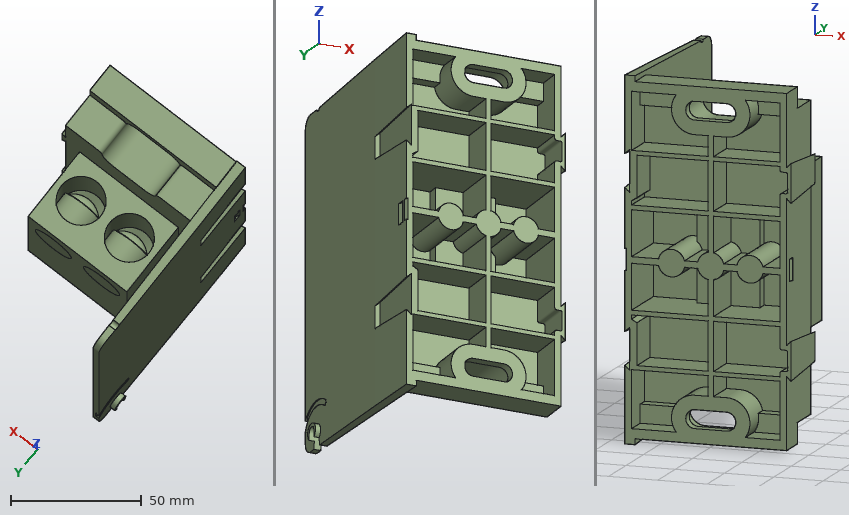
import cadquery as cq
import math

SIDES = (1, -1)

HALF_LENGTH = 70.1
BASE_RIGHT = 65.7
MID_X = 34.9
BASE_HEIGHT = 27.7
END_STEP_HEIGHT = 12.6
TOWER_END = 61.7

PLATE_HALF_LENGTH = 72.4
PLATE_TOP = 90.2
PLATE_TIP_HALF_LENGTH = 69.5
PLATE_FLAT_START = 78.9
PLATE_THICKNESS = 4.2
DRAFT = math.tan(math.radians(0.5))
PLATE_CORNER_RADIUS = 4.9
EDGE_NOTCH_RADIUS = 1.5
EDGE_NOTCH_DEPTH = 0.9

POCKET_LEFT = 2.8
POCKET_RIGHT = 63.0
POCKET_DEPTH = 15.0
END_POCKET_DEPTH = 10.0
SIDE_POCKET_DEPTH = 25.2
MIDDLE_POCKET_DEPTH = 20.3
RIB_THICKNESS = 2.2
WEB_THICKNESS = 2.6
END_BAY = (43.0, 66.2)
END_POCKET_START = 58.6
SNAP_BAY = (21.5, 41.3)
MIDDLE_BAY = (WEB_THICKNESS / 2, 19.7)
MIDDLE_STEP_OFFSET = 12.7
SNAP_WALL_X = 4.9
SNAP_WALL_TAPER = (23.2, 24.5)

SLOT_Z = 60.5
SLOT_LENGTH = 20.3
SLOT_WIDTH = 7.4
BOSS_LENGTH = 31.9
BOSS_WIDTH = 18.8
RECESS_RADIUS = 6.4
RECESS_FLOOR_HALF_WIDTH = 6.7
RECESS_LIP_RADIUS = 2.3
RECESS_BOTTOM = 4.0

POST_DIAMETER = 10.9
POST_SPACING = 15.9

DOVETAIL_Z = 34.9
GROOVE_MOUTH_HALF = 6.7
GROOVE_DEPTH = 2.0
TAB_ROOT_HALF = 6.1
TAB_HEIGHT = 1.7
UNDERCUT = 1.7
DOVETAIL_NARROWING = 2.0
TAB_POCKET_X = 66.2
TAB_POCKET_HALF = 4.2
TAB_POCKET_ROUND = 0.9

LATCH_HALF_LENGTH = 4.3
LATCH_DEPTH = 0.7
LATCH_START = 3.2
LATCH_END = 6.8
LATCH_RAMP = 1.6

PIN_Y = 79.9
PIN_Z = -63.5
PIN_DIAMETER = 7.0
PIN_FACE_X = -1.7
PIN_SLOT_RADIUS = 2.0
PIN_SLOT_MOUTH_HALF = 3.0
ARC_RADIUS = 12.2
ARC_WIDTH = 2.3
ARC_END_ANGLE = 55.0
ARC_DEPTH = 0.5
ARC_RAMP_LENGTH = 1.0
ARC_RAMP_DEPTH = 1.3

BLOCK_WIDTH = 47.9
BLOCK_HALF_LENGTH = 32.1
BLOCK_TOP = 59.6
WIRE_DIAMETER = 19.1
WIRE_SPACING = 23.5
WIRE_Y = 42.4
WIRE_HOLE_END = 5.8
DRILL_HALF_ANGLE = 59.0
SCREW_DIAMETER = 17.5
SCREW_Z = 15.9
SCREW_END = 41.5
SCREW_TIP_DIAMETER = 15.9
SCREW_TIP_HEIGHT = 3.9


def box(x_range, y_range, z_range):
    """Box between two corners given as ranges along X, Y and Z."""
    sizes = [end - start for start, end in (x_range, y_range, z_range)]
    corner = (x_range[0], y_range[0], z_range[0])
    return cq.Workplane("XY").box(*sizes, centered=False).translate(corner)


def z_range_on(side, z_range):
    """Range along Z, mirrored when side is -1."""
    return tuple(sorted(side * z for z in z_range))


def xz_plane(y):
    """Workplane at height y with local axes X and Z; it extrudes towards -Y."""
    return cq.Workplane("XZ", origin=(0, y, 0))


def slot_prism(length, width, center_z, y_range):
    """Rounded slot shape along X, centred across the base."""
    plane = xz_plane(y_range[1]).center(MID_X, center_z)
    return plane.slot2D(length, width).extrude(y_range[1] - y_range[0])



def make_base():
    lower = box((0, BASE_RIGHT), (0, END_STEP_HEIGHT), (-HALF_LENGTH, HALF_LENGTH))
    upper = box((0, BASE_RIGHT), (0, BASE_HEIGHT), (-TOWER_END, TOWER_END))
    return lower.union(upper)


def make_plate():
    """Side plate: outline in YZ limited by a cross-section in XY that thins towards the top."""
    outline = (
        cq.Workplane("YZ")
        .moveTo(0, -PLATE_HALF_LENGTH)
        .lineTo(PLATE_FLAT_START, -PLATE_TIP_HALF_LENGTH)
        .lineTo(PLATE_TOP, -PLATE_TIP_HALF_LENGTH)
        .lineTo(PLATE_TOP, PLATE_TIP_HALF_LENGTH)
        .lineTo(PLATE_FLAT_START, PLATE_TIP_HALF_LENGTH)
        .lineTo(0, PLATE_HALF_LENGTH)
        .close()
        .extrude(PLATE_THICKNESS)
        .edges("|X and >Y")
        .fillet(PLATE_CORNER_RADIUS)
    )
    section = (
        cq.Workplane("XY", origin=(0, 0, -PLATE_HALF_LENGTH))
        .moveTo(0, 0)
        .lineTo(0, BASE_HEIGHT)
        .lineTo(DRAFT * (PLATE_TOP - BASE_HEIGHT), PLATE_TOP)
        .lineTo(PLATE_THICKNESS - DRAFT * PLATE_TOP, PLATE_TOP)
        .lineTo(PLATE_THICKNESS, 0)
        .close()
        .extrude(2 * PLATE_HALF_LENGTH)
    )
    notch = (
        cq.Workplane("YZ")
        .center(PLATE_FLAT_START, PLATE_TIP_HALF_LENGTH - EDGE_NOTCH_DEPTH + EDGE_NOTCH_RADIUS)
        .circle(EDGE_NOTCH_RADIUS)
        .extrude(PLATE_THICKNESS)
    )
    return outline.intersect(section).cut(notch)


def end_recess(side):
    """Channel between the two towers, with rounded lips, that goes on into the slot boss."""
    center_z = TOWER_END - RECESS_LIP_RADIUS
    wall = RECESS_FLOOR_HALF_WIDTH + RECESS_RADIUS
    lip = wall + RECESS_LIP_RADIUS
    diagonal = math.sqrt(0.5)
    floor_arc = RECESS_RADIUS * diagonal
    lip_arc = RECESS_LIP_RADIUS * (1 - diagonal)
    profile = (
        xz_plane(BASE_HEIGHT)
        .moveTo(-lip, HALF_LENGTH)
        .lineTo(-lip, TOWER_END)
        .threePointArc((-wall - lip_arc, TOWER_END - lip_arc), (-wall, center_z))
        .threePointArc(
            (-RECESS_FLOOR_HALF_WIDTH - floor_arc, center_z - floor_arc),
            (-RECESS_FLOOR_HALF_WIDTH, center_z - RECESS_RADIUS),
        )
        .lineTo(RECESS_FLOOR_HALF_WIDTH, center_z - RECESS_RADIUS)
        .threePointArc(
            (RECESS_FLOOR_HALF_WIDTH + floor_arc, center_z - floor_arc),
            (wall, center_z),
        )
        .threePointArc((wall + lip_arc, TOWER_END - lip_arc), (lip, TOWER_END))
        .lineTo(lip, HALF_LENGTH)
        .close()
    )
    channel = profile.extrude(BASE_HEIGHT - END_STEP_HEIGHT).translate((MID_X, 0, 0))
    counterbore = slot_prism(2 * wall, 2 * RECESS_RADIUS, center_z, (RECESS_BOTTOM, END_STEP_HEIGHT))
    recess = channel.union(counterbore)
    return recess if side > 0 else recess.mirror("XY")


def end_bay(side):
    """End bay: deep under the towers, shallower beyond them, leaving the slot boss standing."""
    deep_z = z_range_on(side, (END_BAY[0], END_POCKET_START))
    shallow_z = z_range_on(side, END_BAY)
    across = (POCKET_LEFT, POCKET_RIGHT)
    deep = box(across, (0, POCKET_DEPTH), deep_z)
    shallow = box(across, (0, END_POCKET_DEPTH), shallow_z)
    boss = slot_prism(BOSS_LENGTH, BOSS_WIDTH, side * SLOT_Z, (0, POCKET_DEPTH))
    return deep.union(shallow).cut(boss)


def snap_bay(side):
    """Bay beside the dovetails: its wall is thicker at the groove and it reaches into the tab."""
    taper_start, taper_end = (side * z for z in SNAP_WALL_TAPER)
    inner, outer = (side * z for z in SNAP_BAY)
    main = (
        xz_plane(POCKET_DEPTH)
        .polyline([
            (POCKET_LEFT, inner),
            (POCKET_RIGHT, inner),
            (POCKET_RIGHT, outer),
            (SNAP_WALL_X, outer),
            (SNAP_WALL_X, taper_end),
            (POCKET_LEFT, taper_start),
        ])
        .close()
        .extrude(POCKET_DEPTH)
    )
    tab_z = (DOVETAIL_Z - TAB_POCKET_HALF, DOVETAIL_Z + TAB_POCKET_HALF)
    tab_pocket = box((MID_X, TAB_POCKET_X), (0, POCKET_DEPTH), z_range_on(side, tab_z))
    reach = TAB_POCKET_HALF + TAB_POCKET_ROUND
    tab_corners = cq.selectors.BoxSelector(
        (POCKET_RIGHT - TAB_POCKET_ROUND, 0, side * DOVETAIL_Z - reach),
        (TAB_POCKET_X + TAB_POCKET_ROUND, POCKET_DEPTH, side * DOVETAIL_Z + reach),
    )
    return main.union(tab_pocket).edges("|Y").edges(tab_corners).fillet(TAB_POCKET_ROUND)


def middle_bay(side):
    """Bay beside the middle web, deeper near the two side walls."""
    bay_z = z_range_on(side, MIDDLE_BAY)
    center = box((POCKET_LEFT, POCKET_RIGHT), (0, MIDDLE_POCKET_DEPTH), bay_z)
    left = box((POCKET_LEFT, MID_X - MIDDLE_STEP_OFFSET), (0, SIDE_POCKET_DEPTH), bay_z)
    right = box((MID_X + MIDDLE_STEP_OFFSET, POCKET_RIGHT), (0, SIDE_POCKET_DEPTH), bay_z)
    return center.union(left).union(right)


def center_rib():
    half = RIB_THICKNESS / 2
    return box((MID_X - half, MID_X + half), (0, SIDE_POCKET_DEPTH), (-HALF_LENGTH, HALF_LENGTH))


def web_posts():
    centers = [(MID_X + step * POST_SPACING, 0) for step in (-1, 0, 1)]
    plane = xz_plane(SIDE_POCKET_DEPTH).pushPoints(centers)
    return plane.circle(POST_DIAMETER / 2).extrude(SIDE_POCKET_DEPTH)


def dovetail(face_x, depth, face_half, side):
    """Dovetail from face_x towards +X, widening with depth and narrowing towards the base top."""
    def profile(half):
        return [
            (face_x, -half),
            (face_x + depth, -half - UNDERCUT),
            (face_x + depth, half + UNDERCUT),
            (face_x, half),
        ]

    return (
        xz_plane(0)
        .polyline(profile(face_half))
        .close()
        .workplane(offset=-BASE_HEIGHT)
        .polyline(profile(face_half - DOVETAIL_NARROWING))
        .close()
        .loft(ruled=True)
        .translate((0, 0, side * DOVETAIL_Z))
    )


def latch_ridge(face_x):
    """Triangular ridge along Z, rising from face_x towards +X."""
    return (
        cq.Workplane("XY", origin=(0, 0, -LATCH_HALF_LENGTH))
        .polyline([
            (face_x, LATCH_START),
            (face_x + LATCH_DEPTH, (LATCH_START + LATCH_END) / 2),
            (face_x, LATCH_END),
        ])
        .close()
        .extrude(2 * LATCH_HALF_LENGTH)
    )


def latch_ramp():
    """Lead-in chamfer for the latch at the mounting face."""
    return (
        cq.Workplane("XY", origin=(0, 0, -LATCH_HALF_LENGTH))
        .polyline([(0, 0), (LATCH_DEPTH, 0), (0, LATCH_RAMP)])
        .close()
        .extrude(2 * LATCH_HALF_LENGTH)
    )


def hinge_pin():
    plane = cq.Workplane("YZ", origin=(PIN_FACE_X, PIN_Y, PIN_Z))
    return plane.circle(PIN_DIAMETER / 2).extrude(PLATE_THICKNESS / 2 - PIN_FACE_X)


def pin_slot():
    """Round-ended slot through pin and plate, flaring below the pin to the plate's edge."""
    pin_bottom = -PIN_DIAMETER / 2
    flare_start = pin_bottom + PIN_SLOT_RADIUS / 2
    edge = -PLATE_HALF_LENGTH - PIN_Z
    return (
        cq.Workplane("YZ", origin=(PIN_FACE_X, PIN_Y, PIN_Z))
        .moveTo(-PIN_SLOT_MOUTH_HALF, edge)
        .lineTo(-PIN_SLOT_RADIUS, flare_start)
        .lineTo(-PIN_SLOT_RADIUS, 0)
        .threePointArc((0, PIN_SLOT_RADIUS), (PIN_SLOT_RADIUS, 0))
        .lineTo(PIN_SLOT_RADIUS, flare_start)
        .lineTo(PIN_SLOT_MOUTH_HALF, edge)
        .close()
        .extrude(PLATE_THICKNESS - PIN_FACE_X)
    )


def arc_groove():
    """Shallow groove around the pin that runs out at the plate's free edge down a short ramp."""
    def polar(radius, degrees):
        angle = math.radians(degrees)
        return radius * math.cos(angle), radius * math.sin(angle)

    start_angle = 180 - ARC_END_ANGLE
    middle_angle = start_angle / 2
    inner = ARC_RADIUS - ARC_WIDTH / 2
    outer = ARC_RADIUS + ARC_WIDTH / 2
    end_degrees = math.degrees(ARC_WIDTH / 2 / ARC_RADIUS)
    band = (
        cq.Workplane("YZ", origin=(0, PIN_Y, PIN_Z))
        .moveTo(*polar(outer, 0))
        .threePointArc(polar(outer, middle_angle), polar(outer, start_angle))
        .threePointArc(polar(ARC_RADIUS, start_angle + end_degrees), polar(inner, start_angle))
        .threePointArc(polar(inner, middle_angle), polar(inner, 0))
        .close()
        .extrude(PLATE_THICKNESS)
    )
    face_x = DRAFT * (PLATE_TOP - BASE_HEIGHT)
    floor_x = face_x + ARC_DEPTH
    depth_section = (
        cq.Workplane("XY", origin=(0, 0, PIN_Z))
        .polyline([
            (0, BASE_HEIGHT),
            (DRAFT * (PIN_Y - ARC_RADIUS - BASE_HEIGHT) + ARC_DEPTH, PIN_Y - ARC_RADIUS),
            (floor_x, PLATE_TOP - ARC_RAMP_LENGTH),
            (floor_x + ARC_RAMP_DEPTH, PLATE_TOP),
            (0, PLATE_TOP),
        ])
        .close()
        .extrude(2 * ARC_RADIUS)
    )
    return band.intersect(depth_section)


def make_housing():
    housing = make_base()
    kept = center_rib().union(web_posts())
    for side in SIDES:
        pockets = end_bay(side).union(snap_bay(side)).union(middle_bay(side))
        housing = housing.union(dovetail(BASE_RIGHT, TAB_HEIGHT, TAB_ROOT_HALF, side))
        housing = housing.cut(end_recess(side)).cut(pockets.cut(kept))
        slot = slot_prism(SLOT_LENGTH, SLOT_WIDTH, side * SLOT_Z, (0, BASE_HEIGHT))
        housing = housing.cut(slot)
    bay_space = box((POCKET_LEFT, BASE_RIGHT), (0, BASE_HEIGHT), (-END_BAY[1], END_BAY[1]))
    housing = housing.union(make_plate().cut(bay_space))
    for side in SIDES:
        housing = housing.cut(dovetail(0, GROOVE_DEPTH, GROOVE_MOUTH_HALF, side))
    housing = housing.cut(latch_ridge(0)).cut(latch_ramp()).union(latch_ridge(BASE_RIGHT))
    return housing.union(hinge_pin()).cut(pin_slot()).cut(arc_groove())



WIRE_POSITIONS = [MID_X - WIRE_SPACING / 2, MID_X + WIRE_SPACING / 2]


def wire_hole(x):
    """Blind round hole along Z with a conical drill end."""
    radius = WIRE_DIAMETER / 2
    cone_tip = WIRE_HOLE_END - radius / math.tan(math.radians(DRILL_HALF_ANGLE))
    return (
        cq.Workplane("XZ")
        .polyline([
            (0, cone_tip),
            (radius, WIRE_HOLE_END),
            (radius, BLOCK_HALF_LENGTH),
            (0, BLOCK_HALF_LENGTH),
        ])
        .close()
        .revolve(360, (0, 0), (0, 1))
        .translate((x, WIRE_Y, 0))
    )


def screw_hole(x):
    plane = xz_plane(BLOCK_TOP).center(x, SCREW_Z)
    return plane.circle(SCREW_DIAMETER / 2).extrude(BLOCK_TOP - SCREW_END)


def make_block():
    half = BLOCK_WIDTH / 2
    block = box(
        (MID_X - half, MID_X + half),
        (BASE_HEIGHT, BLOCK_TOP),
        (-BLOCK_HALF_LENGTH, BLOCK_HALF_LENGTH),
    )
    for x in WIRE_POSITIONS:
        block = block.cut(wire_hole(x)).cut(screw_hole(x))
    return block


def make_screw(x):
    """Set screw along Y, flush with the block top, with a domed tip in the wire hole."""
    tip_half = SCREW_TIP_DIAMETER / 2
    dome_radius = (tip_half**2 + SCREW_TIP_HEIGHT**2) / (2 * SCREW_TIP_HEIGHT)
    tip = SCREW_END - SCREW_TIP_HEIGHT
    middle_angle = math.asin(tip_half / dome_radius) / 2
    dome_middle = (
        dome_radius * math.sin(middle_angle),
        tip + dome_radius * (1 - math.cos(middle_angle)),
    )
    return (
        cq.Workplane("XY")
        .moveTo(0, tip)
        .threePointArc(dome_middle, (tip_half, SCREW_END))
        .lineTo(SCREW_DIAMETER / 2, SCREW_END)
        .lineTo(SCREW_DIAMETER / 2, BLOCK_TOP)
        .lineTo(0, BLOCK_TOP)
        .close()
        .revolve(360, (0, 0), (0, 1))
        .translate((x, 0, SCREW_Z))
    )


housing = make_housing()
block = make_block()
screws = [make_screw(x) for x in WIRE_POSITIONS]

result = cq.Compound.makeCompound([housing.val(), block.val(), *[screw.val() for screw in screws]])